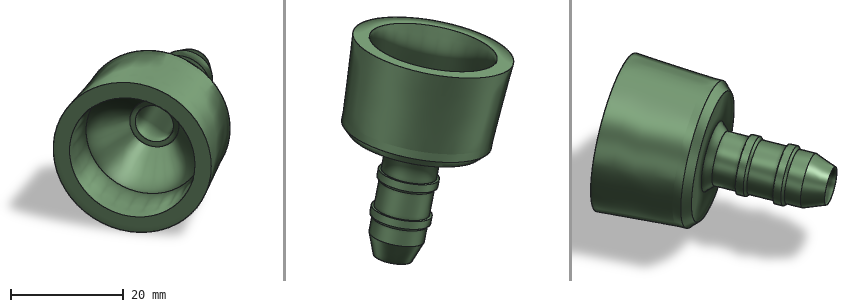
import cadquery as cq

TOTAL_LENGTH = 40.0
SOCKET_LENGTH = 18.0
SOCKET_CHAMFER = 1.5
SOCKET_BAND_LENGTH = 1.5
NOSE_LENGTH = 4.0

SOCKET_MOUTH_RADIUS = 29.0 / 2
SOCKET_BAND_RADIUS = 27.0 / 2
STEM_RADIUS = 10.0 / 2
STEM_FLARE = 1.5

BARB_RADIUS = 11.0 / 2
BARB_LENGTH = 2.0
BARB_STARTS = (24.0, 31.0)

BORE_RADIUS = 7.0 / 2
POCKET_MOUTH_RADIUS = 23.0 / 2
POCKET_INNER_RADIUS = 10.9
POCKET_DEPTH = 9.0
FUNNEL_END_RADIUS = 4.5
FUNNEL_END_DEPTH = 15.0


def revolve_profile(points):
    """Revolve a closed (radius, Y) outline about the Y axis."""
    return cq.Workplane("XY").polyline(points).close().revolve(360, (0, 0, 0), (0, 1, 0))


def make_socket():
    chamfer_start = SOCKET_LENGTH - SOCKET_CHAMFER
    taper_end = chamfer_start - SOCKET_BAND_LENGTH
    return revolve_profile([
        (0, 0),
        (SOCKET_MOUTH_RADIUS, 0),
        (SOCKET_BAND_RADIUS, taper_end),
        (SOCKET_BAND_RADIUS, chamfer_start),
        (SOCKET_BAND_RADIUS - SOCKET_CHAMFER, SOCKET_LENGTH),
        (0, SOCKET_LENGTH),
    ])


def make_stem():
    return revolve_profile([
        (0, SOCKET_LENGTH),
        (STEM_RADIUS + STEM_FLARE, SOCKET_LENGTH),
        (STEM_RADIUS, SOCKET_LENGTH + STEM_FLARE),
        (STEM_RADIUS, TOTAL_LENGTH - NOSE_LENGTH),
        (BORE_RADIUS, TOTAL_LENGTH),
        (0, TOTAL_LENGTH),
    ])


def make_barb(start):
    """Ring with a square shoulder facing the socket and a chamfer facing the tip."""
    end = start + BARB_LENGTH
    chamfer = BARB_RADIUS - STEM_RADIUS
    return revolve_profile([
        (0, start),
        (BARB_RADIUS, start),
        (BARB_RADIUS, end - chamfer),
        (STEM_RADIUS, end),
        (0, end),
    ])


def make_cavity():
    return revolve_profile([
        (0, 0),
        (POCKET_MOUTH_RADIUS, 0),
        (POCKET_INNER_RADIUS, POCKET_DEPTH),
        (FUNNEL_END_RADIUS, FUNNEL_END_DEPTH),
        (BORE_RADIUS, FUNNEL_END_DEPTH),
        (BORE_RADIUS, TOTAL_LENGTH),
        (0, TOTAL_LENGTH),
    ])


body = make_socket().union(make_stem())
for barb_start in BARB_STARTS:
    body = body.union(make_barb(barb_start))

result = body.cut(make_cavity())